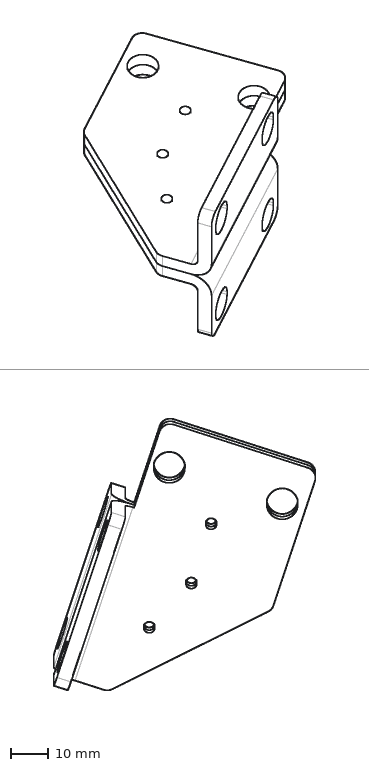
import cadquery as cq

width = 50.5
length = 75.0
height = 24.0
thickness = 4.0

bend_inner_radius = 2.0
bend_outer_radius = bend_inner_radius + thickness
bend_start_x = width - bend_outer_radius

plate_width = 44.0
flange_length = 50.0
cut_size = 35.0
corner_radius = 3.0

large_hole_diameter = 8.5
large_hole_y = 63.45
large_hole_spacing = 32.0
large_hole_x = 6.45
large_hole_points = [
    (large_hole_x, large_hole_y),
    (large_hole_x + large_hole_spacing, large_hole_y),
]
small_hole_diameter = 3.0
small_hole_points = [(22.95, 52.3), (22.95, 35.2), (29.9, 20.1)]

slot_width = large_hole_diameter
slot_height = 9.5
slot_end_distance = 7.5
slot_top_distance = 7.05


def make_plate():
    """Flat plate with a diagonal corner, reaching as far as the bend."""
    main_plate = (
        cq.Workplane("XY")
        .moveTo(cut_size, 0)
        .lineTo(plate_width, 0)
        .lineTo(plate_width, length)
        .lineTo(0, length)
        .lineTo(0, cut_size)
        .close()
        .extrude(thickness)
    )
    square_corner = (plate_width, 0, 0)
    rounded_plate = (
        main_plate.edges("|Z")
        .edges(cq.selectors.InverseSelector(cq.selectors.NearestToPointSelector(square_corner)))
        .fillet(corner_radius)
    )
    bend_strip = (
        cq.Workplane("XY")
        .box(bend_start_x - plate_width, flange_length, thickness, centered=False)
        .translate((plate_width, 0, 0))
    )
    return rounded_plate.union(bend_strip)


def make_bend():
    """Quarter-round bend joining the plate to the flange."""
    diagonal = 0.5 ** 0.5
    inner_mid = bend_inner_radius * diagonal
    outer_mid = bend_outer_radius * diagonal
    center_x = bend_start_x
    center_z = bend_outer_radius
    return (
        cq.Workplane("XZ")
        .moveTo(center_x, 0)
        .threePointArc((center_x + outer_mid, center_z - outer_mid), (width, center_z))
        .lineTo(width - thickness, center_z)
        .threePointArc((center_x + inner_mid, center_z - inner_mid), (center_x, thickness))
        .close()
        .extrude(-flange_length)
    )


def make_flange():
    """Upright flange with two rounded top corners and two slots."""
    flange = (
        cq.Workplane("XY")
        .box(thickness, flange_length, height - bend_outer_radius, centered=False)
        .translate((width - thickness, 0, bend_outer_radius))
        .edges("|X and >Z")
        .fillet(corner_radius)
    )
    slots = (
        cq.Workplane("YZ", origin=(width - thickness, 0, 0))
        .pushPoints([
            (slot_end_distance, height - slot_top_distance),
            (flange_length - slot_end_distance, height - slot_top_distance),
        ])
        .slot2D(slot_height, slot_width, 90)
        .extrude(thickness)
    )
    return flange.cut(slots)


def cut_plate_holes(bracket):
    """Two large and three small holes straight through the plate."""
    large_holes = (
        cq.Workplane("XY").pushPoints(large_hole_points)
        .circle(large_hole_diameter / 2).extrude(thickness)
    )
    small_holes = (
        cq.Workplane("XY").pushPoints(small_hole_points)
        .circle(small_hole_diameter / 2).extrude(thickness)
    )
    return bracket.cut(large_holes).cut(small_holes)


def make_bracket():
    """One bent bracket with its flat face on the XY plane."""
    bracket = make_plate().union(make_bend()).union(make_flange())
    return cut_plate_holes(bracket)


upper_bracket = make_bracket()
brackets = [upper_bracket, upper_bracket.mirror("XY")]

result = cq.Compound.makeCompound([bracket.val() for bracket in brackets])